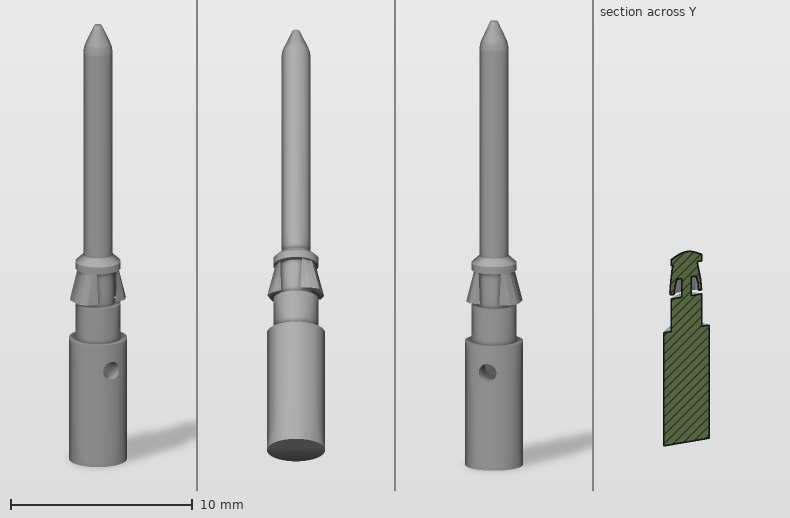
import cadquery as cq

TOTAL_LENGTH = 25.0
BARREL_TOP = 7.0
SHOULDER_TOP = 9.0
COLLAR_BOTTOM = 11.0
COLLAR_EDGE = 11.4
COLLAR_TOP = 11.8
FINGER_BOTTOM = 9.22
NOSE_START = 23.45
NOSE_CONE_START = 23.92
TIP_START = 24.85

BARREL_RADIUS = 1.6
SHOULDER_RADIUS = 1.25
NECK_RADIUS = 0.9
PIN_RADIUS = 0.8
NOSE_BULGE_RADIUS = 0.78
NOSE_CONE_RADIUS = 0.7
TIP_EDGE_RADIUS = 0.28
TIP_RADIUS = 0.2

INSPECTION_HOLE_DIAMETER = 1.0
INSPECTION_HOLE_HEIGHT = 5.5

FINGER_ROOT = [
    (-0.9, 0.62), (-0.65, 0.82), (-0.55, 0.9), (-0.42, 1.05), (0.18, 1.05),
    (0.5, 1.0), (0.85, 0.82), (1.02, 0.62),
    (0.55, 0.7), (-0.55, 0.7),
]
FINGER_FREE_END = [
    (-0.98, 0.55), (-0.82, 1.1), (-0.7, 1.3), (-0.5, 1.5), (0.12, 1.5),
    (0.55, 1.45), (0.92, 1.15), (1.05, 0.55),
    (0.55, 1.0), (-0.55, 1.0),
]


def turned_body():
    """Barrel, shoulder, neck, collar and pin as one revolved profile."""
    nose_middle = (NOSE_START + NOSE_CONE_START) / 2
    profile = (
        cq.Workplane("XZ")
        .lineTo(BARREL_RADIUS, 0)
        .lineTo(BARREL_RADIUS, BARREL_TOP)
        .lineTo(SHOULDER_RADIUS, BARREL_TOP)
        .lineTo(SHOULDER_RADIUS, SHOULDER_TOP)
        .lineTo(NECK_RADIUS, SHOULDER_TOP)
        .lineTo(NECK_RADIUS, COLLAR_BOTTOM)
        .lineTo(SHOULDER_RADIUS, COLLAR_BOTTOM)
        .lineTo(SHOULDER_RADIUS, COLLAR_EDGE)
        .lineTo(PIN_RADIUS, COLLAR_TOP)
        .lineTo(PIN_RADIUS, NOSE_START)
        .threePointArc((NOSE_BULGE_RADIUS, nose_middle), (NOSE_CONE_RADIUS, NOSE_CONE_START))
        .lineTo(TIP_EDGE_RADIUS, TIP_START)
        .lineTo(TIP_RADIUS, TOTAL_LENGTH)
        .lineTo(0, TOTAL_LENGTH)
        .close()
    )
    return profile.revolve(360, (0, 0), (0, 1))


def locking_finger():
    """Faceted finger on the -Y side, flaring out below the collar."""
    free_end = [(x, -outward) for x, outward in FINGER_FREE_END]
    root = [(x, -outward) for x, outward in FINGER_ROOT]
    return (
        cq.Workplane("XY", origin=(0, 0, FINGER_BOTTOM))
        .polyline(free_end)
        .close()
        .workplane(offset=COLLAR_BOTTOM - FINGER_BOTTOM)
        .polyline(root)
        .close()
        .loft(ruled=True)
    )


def inspection_hole():
    """Radial hole from the +X side to the barrel axis."""
    return (
        cq.Workplane("YZ")
        .center(0, INSPECTION_HOLE_HEIGHT)
        .circle(INSPECTION_HOLE_DIAMETER / 2)
        .extrude(BARREL_RADIUS)
    )


finger = locking_finger()
result = (
    turned_body()
    .union(finger)
    .union(finger.mirror("XZ"))
    .cut(inspection_hole())
)